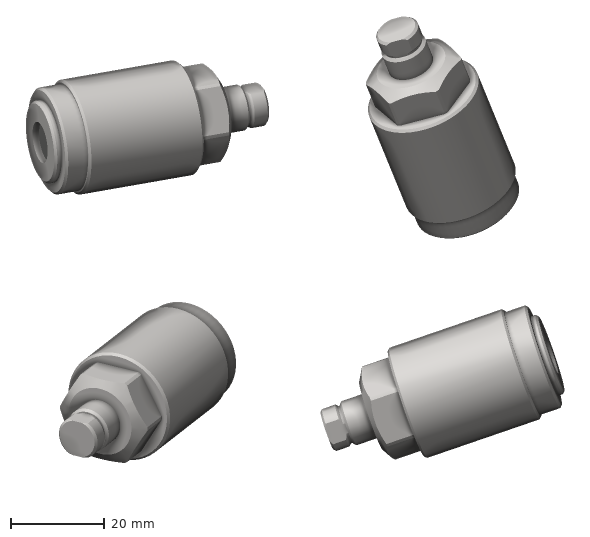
import cadquery as cq
import math


ring_radius = 9.0
ring_bore_radius = 4.5
ring_thickness = 1.5

nose_radius = 11.65
barrel_radius = 12.5
hex_corner_radius = 10.75
neck_radius = 5.0
groove_radius = 4.25
tip_radius = 4.75

nose_length = 5.0
barrel_length = 26.5
hex_length = 8.0
neck_length = 5.5
tip_length = 4.5

edge_chamfer = 0.5
groove_width = 0.5

hex_sides = 6
hex_across_flats = 19.0
hex_end_radius = 7.75
hex_chamfer_angle = 30.0
tip_across_flats = 8.2

nose_start = ring_thickness
barrel_start = nose_start + nose_length
hex_start = barrel_start + barrel_length
neck_start = hex_start + hex_length
tip_start = neck_start + neck_length
tip_end = tip_start + tip_length


def revolve_about_y(profile):
    """Turn a profile of (radius, y) points into a solid of revolution about Y."""
    return cq.Workplane("XY").polyline(profile).close().revolve(360, (0, 0, 0), (0, 1, 0))


def make_ring():
    """Flat ring with a chamfered outer front edge."""
    return revolve_about_y([
        (ring_bore_radius, 0),
        (ring_radius - edge_chamfer, 0),
        (ring_radius, edge_chamfer),
        (ring_radius, ring_thickness),
        (ring_bore_radius, ring_thickness),
    ])


def make_barrel():
    """Chamfered barrel with the smaller nose in front of it."""
    return revolve_about_y([
        (0, nose_start),
        (nose_radius - edge_chamfer, nose_start),
        (nose_radius, nose_start + edge_chamfer),
        (nose_radius, barrel_start),
        (barrel_radius - edge_chamfer, barrel_start),
        (barrel_radius, barrel_start + edge_chamfer),
        (barrel_radius, hex_start - edge_chamfer),
        (barrel_radius - edge_chamfer, hex_start),
        (0, hex_start),
    ])


def make_hex():
    """Hexagon with two flats facing +Z and -Z, rounded corners and a conical tail end."""
    chamfer_length = (hex_corner_radius - hex_end_radius) * math.tan(math.radians(hex_chamfer_angle))
    turned_blank = revolve_about_y([
        (0, hex_start),
        (hex_corner_radius, hex_start),
        (hex_corner_radius, neck_start - chamfer_length),
        (hex_end_radius, neck_start),
        (0, neck_start),
    ])
    across_corners = hex_across_flats / math.cos(math.radians(180 / hex_sides))
    prism = (
        cq.Workplane("XZ", origin=(0, hex_start, 0))
        .polygon(hex_sides, across_corners)
        .extrude(-hex_length)
    )
    return turned_blank.intersect(prism)


def make_neck():
    """Round neck, chamfered at its tail end."""
    return revolve_about_y([
        (0, neck_start),
        (neck_radius, neck_start),
        (neck_radius, tip_start - edge_chamfer),
        (neck_radius - edge_chamfer, tip_start),
        (0, tip_start),
    ])


def make_tip():
    """Grooved tip with two flats facing +Z and -Z."""
    flare_start = tip_start + groove_width
    turned_tip = revolve_about_y([
        (0, tip_start),
        (groove_radius, tip_start),
        (groove_radius, flare_start),
        (tip_radius, flare_start + edge_chamfer),
        (tip_radius, tip_end - edge_chamfer),
        (tip_radius - edge_chamfer, tip_end),
        (0, tip_end),
    ])
    flats = cq.Workplane("XY").box(2 * tip_radius, tip_length, tip_across_flats)
    return turned_tip.intersect(flats.translate((0, tip_start + tip_length / 2, 0)))


def make_housing():
    """Barrel, hexagon, neck and tip in one piece."""
    return make_barrel().union(make_hex()).union(make_neck()).union(make_tip())


ring = make_ring()
housing = make_housing()

result = cq.Compound.makeCompound([ring.val(), housing.val()])